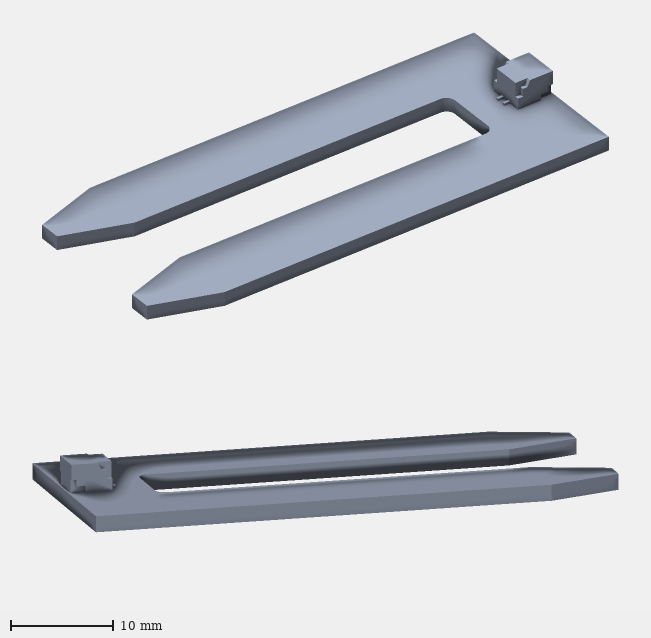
import cadquery as cq

board_length = 54.0
board_width = 22.5
board_thickness = 1.6
leg_width = board_width / 3
tip_width = leg_width / 3
tip_length = 7.55
bridge_length = 8.5
slot_corner_radius = 1.0

connector_width = 4.0
connector_length = 4.2
connector_height = 2.9
connector_center_x = 0.2
connector_back_gap = 0.2

front_notch_width = 0.45
front_notch_lower_length = 0.6
front_notch_lower_depth = 1.6
front_notch_upper_length = 1.15
front_notch_upper_depth = 0.7
front_notch_top_length = 1.45

rear_recess_width = 0.3
rear_recess_upper_length = 0.55
rear_recess_upper_height = 1.35
rear_recess_lower_length = 1.45
rear_recess_lower_height = 0.7

pin_pitch = 1.0
pin_width = 0.3
pin_height = 0.25
pin_length = 0.7

board_back = board_length / 2
board_front = -board_length / 2
taper_start = board_front + tip_length
slot_end = board_back - bridge_length
connector_back = board_back - connector_back_gap
connector_front = connector_back - connector_length
connector_bottom = board_thickness
connector_top = connector_bottom + connector_height
connector_left = connector_center_x - connector_width / 2
connector_right = connector_center_x + connector_width / 2


def make_board():
    outer_x = board_width / 2
    slot_x = outer_x - leg_width
    tip_inset = (leg_width - tip_width) / 2
    tip_outer_x = outer_x - tip_inset
    tip_inner_x = slot_x + tip_inset
    board = (
        cq.Workplane("XY")
        .moveTo(-outer_x, board_back)
        .lineTo(-outer_x, taper_start)
        .lineTo(-tip_outer_x, board_front)
        .lineTo(-tip_inner_x, board_front)
        .lineTo(-slot_x, taper_start)
        .lineTo(-slot_x, slot_end - slot_corner_radius)
        .radiusArc((-slot_x + slot_corner_radius, slot_end), slot_corner_radius)
        .lineTo(slot_x - slot_corner_radius, slot_end)
        .radiusArc((slot_x, slot_end - slot_corner_radius), slot_corner_radius)
        .lineTo(slot_x, taper_start)
        .lineTo(tip_inner_x, board_front)
        .lineTo(tip_outer_x, board_front)
        .lineTo(outer_x, taper_start)
        .lineTo(outer_x, board_back)
        .close()
    )
    return board.extrude(board_thickness)


def cut_both_sides(block, profile, depth):
    """Cut a (Y, Z) profile to the given depth into both X sides of the block."""
    for start_x in (connector_left, connector_right - depth):
        cutter = cq.Workplane("YZ", origin=(start_x, 0, 0)).polyline(profile).close().extrude(depth)
        block = block.cut(cutter)
    return block


def make_connector():
    connector = cq.Workplane("XY").box(
        connector_width, connector_length, connector_height, centered=(True, False, False)
    ).translate((connector_center_x, connector_front, connector_bottom))

    front_notch = [
        (connector_front, connector_top),
        (connector_front, connector_top - front_notch_lower_depth),
        (connector_front + front_notch_lower_length, connector_top - front_notch_lower_depth),
        (connector_front + front_notch_lower_length, connector_top - front_notch_upper_depth),
        (connector_front + front_notch_upper_length, connector_top - front_notch_upper_depth),
        (connector_front + front_notch_top_length, connector_top),
    ]
    connector = cut_both_sides(connector, front_notch, front_notch_width)

    rear_recess = [
        (connector_back, connector_bottom),
        (connector_back, connector_bottom + rear_recess_upper_height),
        (connector_back - rear_recess_upper_length, connector_bottom + rear_recess_upper_height),
        (connector_back - rear_recess_upper_length, connector_bottom + rear_recess_lower_height),
        (connector_back - rear_recess_lower_length, connector_bottom + rear_recess_lower_height),
        (connector_back - rear_recess_lower_length, connector_bottom),
    ]
    connector = cut_both_sides(connector, rear_recess, rear_recess_width)

    for side in (-1, 1):
        pin = cq.Workplane("XY").box(
            pin_width, pin_length, pin_height, centered=(True, False, False)
        )
        pin_x = connector_center_x + side * pin_pitch / 2
        connector = connector.union(pin.translate((pin_x, connector_front - pin_length, connector_bottom)))
    return connector


board = make_board()
connector = make_connector()

result = cq.Compound.makeCompound([board.val(), connector.val()])